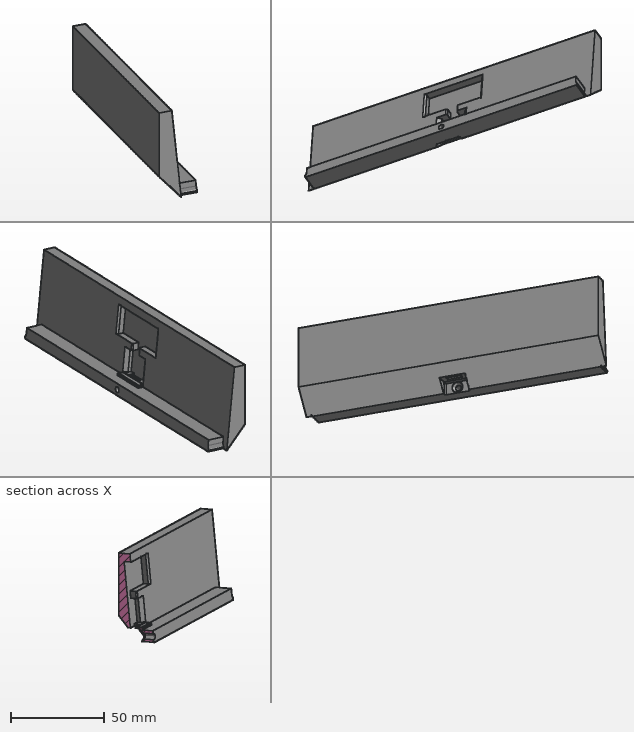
import cadquery as cq
import math

LEAN = 6.0

LENGTH = 171.2
BACK_HEIGHT = 49.0
TOP_THICKNESS = 7.2
FRONT_HEIGHT = 35.6

FLANGE_DEPTH = 10.0
FLANGE_HEIGHT = 6.7
LIP_SPAN = 165.3
LIP_REACH = 1.0
LIP_LOW = 1.0
LIP_HIGH = 3.6
LIP_UNDERCUT = 0.43

NOTCH_WIDTH = 14.5
NOTCH_HEIGHT = 7.2
NOTCH_FLOOR = 2.0
NOTCH_REACH = 13.7
NOTCH_CHAMFER = 0.9

BOSS_WALL = 2.2
BOSS_WIDTH = NOTCH_WIDTH + 2 * BOSS_WALL
BOSS_DEPTH = 3.3
BOSS_TOP = 8.0
BOSS_CHAMFER = 0.43

HOLE_DIAMETER = 3.0
SINK_DIAMETER = 6.0
SINK_ANGLE = 82.0
HOLE_HEIGHT = 3.3

RECESS_DEPTH = 4.1
UPPER_WIDTH = 33.5
UPPER_FLARE = 1.0
UPPER_BOTTOM = 27.0
UPPER_TOP = 44.2
LOWER_WIDTH = 14.0
LOWER_FLARE = 2.0
LOWER_SILL = 0.3
LOWER_BOTTOM = BOSS_TOP + LOWER_SILL
LOWER_TOP = 23.0

SLOT_WIDTH = 5.8
SLOT_FLARE = 0.7
OPENING_WIDTH = 8.2
OPENING_RIM = 1.2


def make_body():
    """Wedge with a leaning front face and a knife edge at the bottom."""
    lean = math.radians(LEAN)
    front_low = (
        -TOP_THICKNESS - FRONT_HEIGHT * math.sin(lean),
        BACK_HEIGHT - FRONT_HEIGHT * math.cos(lean),
    )
    return (
        cq.Workplane("YZ")
        .polyline([(0, 0), (0, BACK_HEIGHT), (-TOP_THICKNESS, BACK_HEIGHT), front_low])
        .close()
        .extrude(LENGTH / 2, both=True)
    )


def make_flange():
    """Flange whose ends flare through a concave arc into a pointed lip."""
    lip_x = LIP_SPAN / 2
    end_x = lip_x - LIP_REACH
    base_x = lip_x - LIP_UNDERCUT
    rise = LIP_HIGH - LIP_LOW
    radius = (LIP_REACH**2 + rise**2) / (2 * LIP_REACH)
    half_turn = math.asin(rise / radius) / 2
    mid_x = end_x + radius * (1 - math.cos(half_turn))
    mid_z = LIP_HIGH - radius * math.sin(half_turn)
    return (
        cq.Workplane("XZ")
        .moveTo(-base_x, 0)
        .lineTo(base_x, 0)
        .lineTo(lip_x, LIP_LOW)
        .threePointArc((mid_x, mid_z), (end_x, LIP_HIGH))
        .lineTo(end_x, FLANGE_HEIGHT)
        .lineTo(-end_x, FLANGE_HEIGHT)
        .lineTo(-end_x, LIP_HIGH)
        .threePointArc((-mid_x, mid_z), (-lip_x, LIP_LOW))
        .close()
        .extrude(-FLANGE_DEPTH)
    )


def make_boss():
    """Chamfered block against the back face, above the screw notch."""
    return (
        cq.Workplane("XY")
        .box(BOSS_WIDTH, BOSS_DEPTH, BOSS_TOP, centered=(True, False, False))
        .edges(">Z and (>Y or |Y)")
        .chamfer(BOSS_CHAMFER)
    )


def make_notch():
    """Pocket with a chamfered floor, open at the front and the bottom."""
    return (
        cq.Workplane("XZ", origin=(0, NOTCH_FLOOR, 0))
        .rect(NOTCH_WIDTH, 2 * NOTCH_HEIGHT)
        .extrude(NOTCH_REACH)
        .faces(">Y")
        .chamfer(NOTCH_CHAMFER)
    )


def make_screw_hole():
    """Hole through the flange, countersunk from the notch floor."""
    sink_radius = SINK_DIAMETER / 2
    hole_radius = HOLE_DIAMETER / 2
    sink_depth = (sink_radius - hole_radius) / math.tan(math.radians(SINK_ANGLE / 2))
    length = FLANGE_DEPTH - NOTCH_FLOOR
    start = cq.Vector(0, NOTCH_FLOOR, HOLE_HEIGHT)
    along = cq.Vector(0, 1, 0)
    hole = cq.Solid.makeCylinder(hole_radius, length, start, along)
    sink = cq.Solid.makeCone(sink_radius, hole_radius, sink_depth, start, along)
    return cq.Workplane(hole.fuse(sink))


def make_back_recess(width, flare, bottom, top):
    """Recess in the back face whose side walls splay at 45 degrees near the mouth."""
    half_width = width / 2
    return (
        cq.Workplane("XY", origin=(0, 0, bottom))
        .moveTo(-half_width, -RECESS_DEPTH)
        .lineTo(half_width, -RECESS_DEPTH)
        .lineTo(half_width, -flare)
        .lineTo(half_width + flare, 0)
        .lineTo(-half_width - flare, 0)
        .lineTo(-half_width, -flare)
        .close()
        .extrude(top - bottom)
    )


def make_cable_opening():
    """Opening from the lower recess down into the notch, behind a thin rim."""
    return cq.Workplane("XY", origin=(0, -RECESS_DEPTH, 0)).box(
        OPENING_WIDTH,
        RECESS_DEPTH - OPENING_RIM,
        LOWER_BOTTOM,
        centered=(True, False, False),
    )


cover = make_body().union(make_flange()).union(make_boss())
cover = cover.cut(make_notch()).cut(make_screw_hole()).cut(make_cable_opening())
cover = cover.cut(make_back_recess(UPPER_WIDTH, UPPER_FLARE, UPPER_BOTTOM, UPPER_TOP))
cover = cover.cut(make_back_recess(LOWER_WIDTH, LOWER_FLARE, LOWER_BOTTOM, LOWER_TOP))
cover = cover.cut(make_back_recess(SLOT_WIDTH, SLOT_FLARE, LOWER_TOP, UPPER_BOTTOM))

result = cover.rotate((0, 0, 0), (1, 0, 0), LEAN)